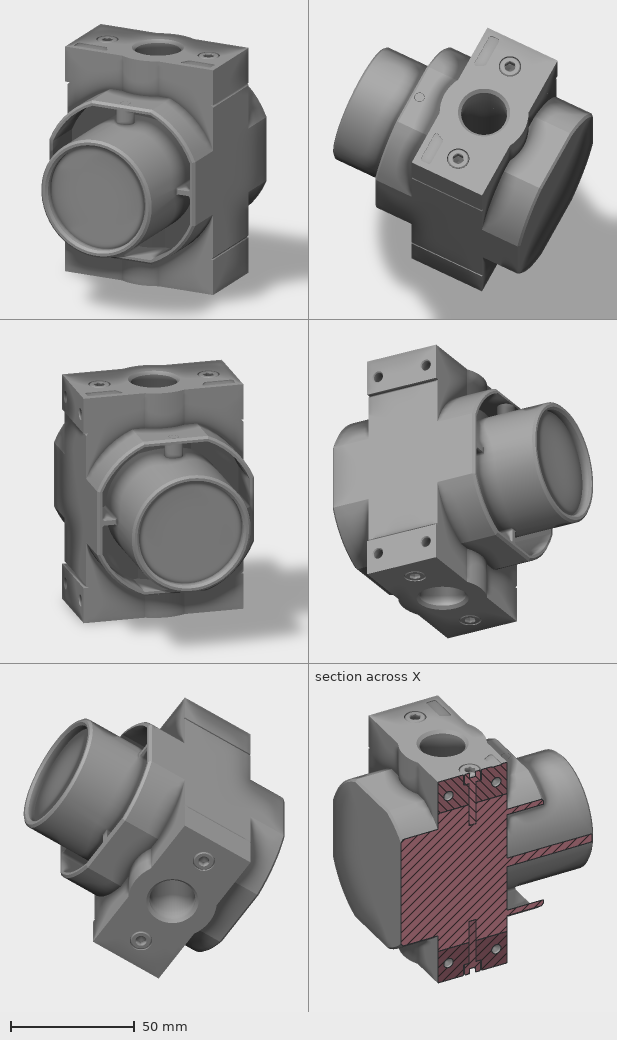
import cadquery as cq
import math

overall_height = 96.0
plate_thickness = 15.0
housing_size = overall_height - 2 * plate_thickness
housing_half = housing_size / 2

corner_radius = 35.7
edge_chamfer = 1.0
wall = 2.0
block_width = 32.0
cavity_floor_y = -block_width / 2
column_diameter = 39.0
rib_thickness = 2.0
rib_fillet = 1.0

bore_diameter = 18.6
bore_chamfer = 1.2

boss_diameter = 50.0
boss_front_y = -56.4
boss_chamfer = 1.0
recess_diameter = 44.0
disc_face_depth = 3.8
disc_thickness = 2.0

pin_y = -29.4
post_diameter = 7.3
pin_hole_diameter = 4.1
pin_diameter = 3.8
pin_length = 7.7

plate_overhang = 1.1
plate_left = -housing_half - plate_overhang
plate_right = housing_half
plate_bulge_diameter = 36.0

side_hole_y = 11.0
side_hole_inset = 8.2
side_hole_diameter = 4.1
side_hole_chamfer = 0.43
side_hole_depth = 10.0

label_margin = 2.5
label_inner_x = 16.1
label_slant = 2.6
label_height = 4.5
label_fillet = 1.0
label_depth = 0.4

screw_x = 22.9
head_diameter = 8.5
head_height = 5.0
head_chamfer = 0.5
counterbore_diameter = 9.0
shank_diameter = 5.0
shank_length = 20.0
socket_flats = 4.0
socket_corners = socket_flats / math.cos(math.pi / 6)
socket_mouth_diameter = 4.7
socket_turn = 30
socket_depth = 2.4
socket_tip_depth = 1.2

head_top_z = overall_height / 2
head_seat_z = head_top_z - head_height


def cylinder_y(diameter, start_y, end_y):
    """Round bar along Y between two planes."""
    return cq.Workplane("XZ", origin=(0, start_y, 0)).circle(diameter / 2).extrude(start_y - end_y)


def cylinder_z(diameter, x, y, start_z, end_z):
    """Round bar along Z between two planes."""
    return cq.Workplane("XY", origin=(x, y, start_z)).circle(diameter / 2).extrude(end_z - start_z)


def cone_down(diameter, depth, x, base_z):
    """Cone in the XZ plane of symmetry, pointing to -Z from its base."""
    cone = cq.Solid.makeCone(diameter / 2, 0, depth, cq.Vector(x, 0, base_z), cq.Vector(0, 0, -1))
    return cq.Workplane(cone)


def rounded_prism(half, radius, start_y, end_y):
    """Square prism along Y whose corners are trimmed by a circle about its axis."""
    square = cq.Workplane("XZ", origin=(0, start_y, 0)).rect(2 * half, 2 * half).extrude(start_y - end_y)
    return square.intersect(cylinder_y(2 * radius, start_y, end_y))


def make_shell():
    """Solid outer shape: rounded prism with the square block across its middle."""
    prism = rounded_prism(housing_half, corner_radius, housing_half, -housing_half)
    prism = prism.faces("<Y or >Y").chamfer(edge_chamfer)
    block = cq.Workplane("XY").box(housing_size, block_width, housing_size).edges("|Y").chamfer(edge_chamfer)
    return prism.union(block)


def make_pockets():
    """Open space of the front cavity, around the boss, ribs, bore column and pin post."""
    space = rounded_prism(housing_half - wall, corner_radius - wall, cavity_floor_y, -housing_half)
    space = space.cut(cylinder_y(boss_diameter, cavity_floor_y, -housing_half))
    rib_y = (cavity_floor_y - housing_half) / 2
    rib_depth = cavity_floor_y + housing_half
    side_ribs = cq.Workplane("XY", origin=(0, rib_y, 0)).box(housing_size, rib_depth, rib_thickness)
    lower_rib = cq.Workplane("XY", origin=(0, rib_y, -housing_half / 2))
    lower_rib = lower_rib.box(rib_thickness, rib_depth, housing_half)
    space = space.cut(side_ribs).cut(lower_rib)

    reach = rib_thickness
    beside_side_ribs = cq.selectors.BoxSelector(
        (-housing_half, -housing_half, -reach), (housing_half, cavity_floor_y, reach))
    beside_lower_rib = cq.selectors.BoxSelector(
        (-reach, -housing_half, -housing_half), (reach, cavity_floor_y, 0))
    space = space.edges("|Y").edges(beside_side_ribs + beside_lower_rib).fillet(rib_fillet)

    column = cylinder_z(column_diameter, 0, 0, -housing_half, housing_half)
    post = cylinder_z(post_diameter, 0, pin_y, 0, housing_half)
    return space.cut(column).cut(post)


def make_boss():
    """Round boss with chamfered rim and a recess that ends behind the disc."""
    boss = cylinder_y(boss_diameter, cavity_floor_y, boss_front_y)
    recess_floor_y = boss_front_y + disc_face_depth + disc_thickness
    boss = boss.cut(cylinder_y(recess_diameter, recess_floor_y, boss_front_y))
    return boss.faces("<Y").chamfer(boss_chamfer)


def make_housing():
    housing = make_shell().cut(make_pockets()).union(make_boss())
    housing = housing.cut(cylinder_z(bore_diameter, 0, 0, -housing_half, housing_half))
    housing = housing.cut(cylinder_z(pin_hole_diameter, 0, pin_y, housing_half - pin_length, housing_half))
    for screw in make_screws():
        housing = housing.cut(screw)
    return housing


def make_disc():
    face_y = boss_front_y + disc_face_depth
    return cylinder_y(recess_diameter, face_y + disc_thickness, face_y)


def make_pin():
    return cylinder_z(pin_diameter, 0, pin_y, housing_half - pin_length, housing_half)


def make_upper_screw(x):
    """Socket head screw along Z, head up."""
    head = cylinder_z(head_diameter, x, 0, head_seat_z, head_top_z).faces(">Z").edges().chamfer(head_chamfer)
    socket = cq.Workplane("XY").polygon(6, socket_corners).extrude(-socket_depth)
    socket = socket.rotate((0, 0, 0), (0, 0, 1), socket_turn).translate((x, 0, head_top_z))
    mouth = cone_down(socket_mouth_diameter, socket_mouth_diameter / 2, x, head_top_z)
    tip = cone_down(socket_flats, socket_tip_depth, x, head_top_z - socket_depth)
    shank = cylinder_z(shank_diameter, x, 0, head_seat_z - shank_length, head_seat_z)
    return head.union(shank).cut(socket).cut(mouth).cut(tip)


def make_screws():
    """Two screws through each plate."""
    screws = []
    for x in (-screw_x, screw_x):
        upper = make_upper_screw(x)
        screws += [upper, upper.mirror("XY")]
    return screws


def make_upper_plate():
    """Upper plate with bore, screw holes and side holes."""
    length = plate_right - plate_left
    middle_z = (housing_half + overall_height / 2) / 2
    plate = cq.Workplane("XY", origin=((plate_left + plate_right) / 2, 0, middle_z))
    plate = plate.box(length, block_width, plate_thickness)
    plate = plate.union(cylinder_z(plate_bulge_diameter, 0, 0, housing_half, overall_height / 2))

    plate = plate.cut(cylinder_z(bore_diameter, 0, 0, housing_half, overall_height / 2))
    smallest_circle = cq.selectors.RadiusNthSelector(0)
    plate = plate.faces(">Z").edges("%CIRCLE").edges(smallest_circle).chamfer(bore_chamfer)

    for x in (-screw_x, screw_x):
        plate = plate.cut(cylinder_z(counterbore_diameter, x, 0, head_seat_z, overall_height / 2))
        plate = plate.cut(cylinder_z(shank_diameter, x, 0, housing_half, head_seat_z))

    for y in (-side_hole_y, side_hole_y):
        plate = plate.cut(make_side_hole(y))
    return plate


def make_side_hole(y):
    """Drilled hole with a chamfered mouth and conical tip, entering the upper plate from -X."""
    radius = side_hole_diameter / 2
    z = overall_height / 2 - side_hole_inset
    profile = [
        (0, 0),
        (radius + side_hole_chamfer, 0),
        (radius, side_hole_chamfer),
        (radius, side_hole_depth),
        (0, side_hole_depth + radius / math.sqrt(3)),
    ]
    hole = cq.Workplane("XY").polyline(profile).close().revolve(360, (0, 0), (0, 1))
    return hole.rotate((0, 0, 0), (0, 0, 1), -90).translate((plate_left, y, z))


def make_label(side, outer_x):
    """Shallow label recess with one slanted end; side is -1 left of the bore, 1 right of it."""
    front_y = -block_width / 2 + label_margin
    back_y = front_y + label_height
    inner_x = side * label_inner_x
    outline = [
        (outer_x, front_y),
        (inner_x, front_y),
        (inner_x + side * label_slant, back_y),
        (outer_x, back_y),
    ]
    label = cq.Workplane("XY", origin=(0, 0, overall_height / 2)).polyline(outline).close()
    return label.extrude(-label_depth).edges("|Z").fillet(label_fillet)


plain_plate = make_upper_plate()
left_label = make_label(-1, plate_left + label_margin)
right_label = make_label(1, plate_right - label_margin)
upper_plate = plain_plate.cut(left_label).cut(right_label)
lower_plate = plain_plate.mirror("XY")

housing = make_housing()
disc = make_disc()
pin = make_pin()
screws = make_screws()

result = cq.Compound.makeCompound([
    housing.val(),
    upper_plate.val(),
    lower_plate.val(),
    *[screw.val() for screw in screws],
    pin.val(),
    disc.val(),
])